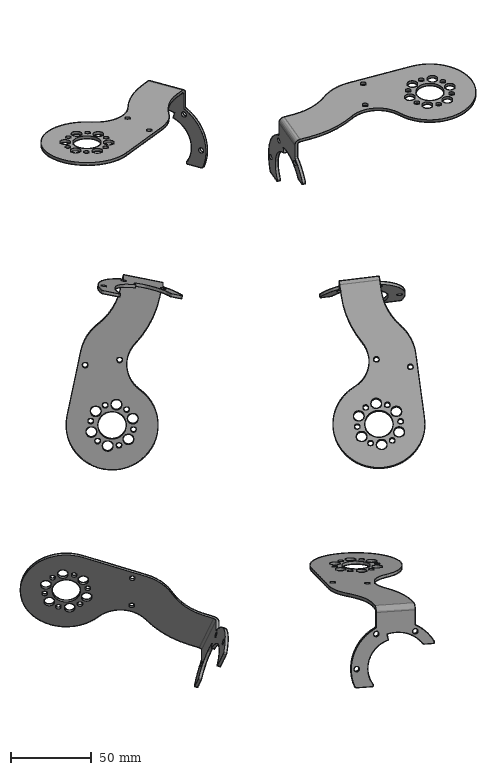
import cadquery as cq
import math

THICKNESS = 2.0
TURN_ANGLE = -5.0
STRIP_WIDTH = 25.0
HALF_STRIP = STRIP_WIDTH / 2

DISC_RADIUS = 28.5
CENTRE_HOLE = 17.5
BOLT_CIRCLE_RADIUS = 13.5
LARGE_HOLE = 6.6
SMALL_HOLE = 3.4
HOLES_PER_SET = 6
ARM_HOLES = [(3.8, 42.0), (24.1, 34.5)]

CURVE_START_Y = 86.6
NECK_LEFT_RADIUS = 63.4
NECK_RIGHT_RADIUS = NECK_LEFT_RADIUS - STRIP_WIDTH
HOLLOW_RADIUS = 20.0
SHOULDER_RADIUS = 30.0

BRACKET_BACK_Y = 96.5
BEND_INNER_RADIUS = 1.5
BEND_OUTER_RADIUS = BEND_INNER_RADIUS + THICKNESS
BEND_START_Y = BRACKET_BACK_Y - BEND_OUTER_RADIUS
RING_CENTRE_Z = -39.0
RING_OUTER_RADIUS = 28.5
RING_LEFT_INNER_RADIUS = 21.8
RING_RIGHT_INNER_RADIUS = 17.9
RING_HOLE_RADIUS = 25.0
RING_HOLE_ANGLES = [0, 60, 120]
STEP_ANGLE = 75.0
LEFT_TIP_Z = -26.1
RIGHT_TIP_Z = -51.1
CORNER_RADIUS = 1.0


def polar(centre, radius, degrees):
    angle = math.radians(degrees)
    return (centre[0] + radius * math.cos(angle), centre[1] + radius * math.sin(angle))


def direction(start, end):
    return math.degrees(math.atan2(end[1] - start[1], end[0] - start[0]))


def touching_centre(first, first_distance, second, second_distance):
    """Point at the given distances from two points, left of the line first -> second."""
    span = math.dist(first, second)
    along = (first_distance**2 - second_distance**2 + span**2) / (2 * span)
    offset = math.degrees(math.acos(along / first_distance))
    return polar(first, first_distance, direction(first, second) + offset)


def on_circle_at_height(radius, z, side):
    """Point of a bracket circle at height z, on the side -1 (left) or +1 (right)."""
    return (side * math.sqrt(radius**2 - (z - RING_CENTRE_Z) ** 2), z)


def make_plate():
    disc_centre = (0, 0)
    neck_centre = (NECK_LEFT_RADIUS - HALF_STRIP, CURVE_START_Y)

    hollow_centre = touching_centre(
        disc_centre, DISC_RADIUS + HOLLOW_RADIUS, neck_centre, NECK_LEFT_RADIUS + HOLLOW_RADIUS
    )
    hollow_top_angle = direction(hollow_centre, neck_centre)
    hollow_bottom_angle = direction(hollow_centre, disc_centre)
    hollow_top = polar(hollow_centre, HOLLOW_RADIUS, hollow_top_angle)
    hollow_middle = polar(hollow_centre, HOLLOW_RADIUS, (hollow_top_angle + hollow_bottom_angle) / 2)
    hollow_bottom = polar(hollow_centre, HOLLOW_RADIUS, hollow_bottom_angle)
    left_middle_angle = (180 + direction(neck_centre, hollow_centre) % 360) / 2
    left_middle = polar(neck_centre, NECK_LEFT_RADIUS, left_middle_angle)

    shoulder_x = DISC_RADIUS - SHOULDER_RADIUS
    shoulder_distance = NECK_RIGHT_RADIUS + SHOULDER_RADIUS
    shoulder_drop = math.sqrt(shoulder_distance**2 - (neck_centre[0] - shoulder_x) ** 2)
    shoulder_centre = (shoulder_x, CURVE_START_Y - shoulder_drop)
    shoulder_angle = direction(shoulder_centre, neck_centre)
    shoulder_top = polar(shoulder_centre, SHOULDER_RADIUS, shoulder_angle)
    shoulder_middle = polar(shoulder_centre, SHOULDER_RADIUS, shoulder_angle / 2)
    right_middle = polar(neck_centre, NECK_RIGHT_RADIUS, 180 + shoulder_angle / 2)

    plate = (
        cq.Workplane("XY")
        .moveTo(-HALF_STRIP, BEND_START_Y)
        .lineTo(-HALF_STRIP, CURVE_START_Y)
        .threePointArc(left_middle, hollow_top)
        .threePointArc(hollow_middle, hollow_bottom)
        .threePointArc((0, -DISC_RADIUS), (DISC_RADIUS, 0))
        .lineTo(DISC_RADIUS, shoulder_centre[1])
        .threePointArc(shoulder_middle, shoulder_top)
        .threePointArc(right_middle, (HALF_STRIP, CURVE_START_Y))
        .lineTo(HALF_STRIP, BEND_START_Y)
        .close()
        .extrude(-THICKNESS)
    )

    pitch = 360 / HOLES_PER_SET
    centre_cut = cq.Workplane("XY").circle(CENTRE_HOLE / 2)
    large_cut = (
        cq.Workplane("XY")
        .polarArray(BOLT_CIRCLE_RADIUS, pitch / 2, 360, HOLES_PER_SET)
        .circle(LARGE_HOLE / 2)
    )
    small_cut = (
        cq.Workplane("XY")
        .polarArray(BOLT_CIRCLE_RADIUS, 0, 360, HOLES_PER_SET)
        .circle(SMALL_HOLE / 2)
    )
    arm_cut = cq.Workplane("XY").pushPoints(ARM_HOLES).circle(SMALL_HOLE / 2)
    for cut in (centre_cut, large_cut, small_cut, arm_cut):
        plate = plate.cut(cut.extrude(-THICKNESS))
    return plate


def make_bend():
    half = math.sqrt(0.5)
    centre = (BEND_START_Y, -BEND_OUTER_RADIUS)
    outer_middle = (centre[0] + BEND_OUTER_RADIUS * half, centre[1] + BEND_OUTER_RADIUS * half)
    inner_middle = (centre[0] + BEND_INNER_RADIUS * half, centre[1] + BEND_INNER_RADIUS * half)
    return (
        cq.Workplane("YZ")
        .moveTo(BEND_START_Y, 0)
        .threePointArc(outer_middle, (BRACKET_BACK_Y, centre[1]))
        .lineTo(BRACKET_BACK_Y - THICKNESS, centre[1])
        .threePointArc(inner_middle, (BEND_START_Y, -THICKNESS))
        .close()
        .extrude(HALF_STRIP, both=True)
    )


def make_bracket():
    ring_centre = (0, RING_CENTRE_Z)
    neck_bottom_z = RING_CENTRE_Z + math.sqrt(RING_OUTER_RADIUS**2 - HALF_STRIP**2)
    left_outer_tip = on_circle_at_height(RING_OUTER_RADIUS, LEFT_TIP_Z, -1)
    left_inner_tip = on_circle_at_height(RING_LEFT_INNER_RADIUS, LEFT_TIP_Z, -1)
    right_outer_tip = on_circle_at_height(RING_OUTER_RADIUS, RIGHT_TIP_Z, 1)
    right_inner_tip = on_circle_at_height(RING_RIGHT_INNER_RADIUS, RIGHT_TIP_Z, 1)
    neck_angle = direction(ring_centre, (-HALF_STRIP, neck_bottom_z))
    left_middle_angle = (direction(ring_centre, left_outer_tip) + neck_angle) / 2

    bracket = (
        cq.Workplane("XZ", origin=(0, BRACKET_BACK_Y, 0))
        .moveTo(-HALF_STRIP, -BEND_OUTER_RADIUS)
        .lineTo(-HALF_STRIP, neck_bottom_z)
        .threePointArc(polar(ring_centre, RING_OUTER_RADIUS, left_middle_angle), left_outer_tip)
        .lineTo(*left_inner_tip)
        .threePointArc(
            (0, RING_CENTRE_Z + RING_LEFT_INNER_RADIUS),
            polar(ring_centre, RING_LEFT_INNER_RADIUS, STEP_ANGLE),
        )
        .lineTo(*polar(ring_centre, RING_RIGHT_INNER_RADIUS, STEP_ANGLE))
        .threePointArc((RING_RIGHT_INNER_RADIUS, RING_CENTRE_Z), right_inner_tip)
        .lineTo(*right_outer_tip)
        .threePointArc((RING_OUTER_RADIUS, RING_CENTRE_Z), (HALF_STRIP, neck_bottom_z))
        .lineTo(HALF_STRIP, -BEND_OUTER_RADIUS)
        .close()
        .extrude(THICKNESS)
    )

    rounded_corners = [
        (-HALF_STRIP, neck_bottom_z),
        (HALF_STRIP, neck_bottom_z),
        left_outer_tip,
        left_inner_tip,
        right_outer_tip,
        right_inner_tip,
    ]
    middle_y = BRACKET_BACK_Y - THICKNESS / 2
    for x, z in rounded_corners:
        corner = cq.selectors.NearestToPointSelector((x, middle_y, z))
        bracket = bracket.edges("|Y").edges(corner).fillet(CORNER_RADIUS)

    holes = [polar(ring_centre, RING_HOLE_RADIUS, angle) for angle in RING_HOLE_ANGLES]
    hole_cut = (
        cq.Workplane("XZ", origin=(0, BRACKET_BACK_Y, 0))
        .pushPoints(holes)
        .circle(SMALL_HOLE / 2)
        .extrude(THICKNESS)
    )
    return bracket.cut(hole_cut)


flat_part = make_plate().union(make_bend()).union(make_bracket())
result = flat_part.rotate((0, 0, 0), (0, 0, 1), TURN_ANGLE)